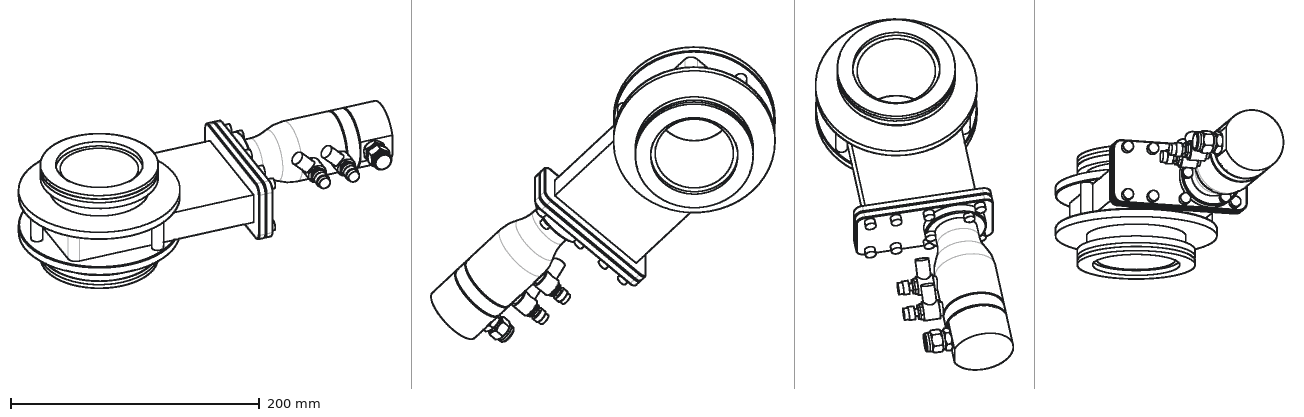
import cadquery as cq
import math


overall_height = 87.76
half_height = overall_height / 2
bore_diameter = 63
seal_recess_diameter = 70
seal_recess_depth = 4
port_flange_diameter = 95
port_flange_thickness = 12.2
port_groove_radius = 1.6
port_groove_offset = 5.1
neck_diameter = 80

cover_diameter = 130.05
cover_thickness = 7
cover_chamfer = 0.7

housing_width = 90
housing_height = 26
housing_front = 43.5
housing_corner_radius = 7
spacer_diameter = 9.6
spacer_centers = ((0, -54.5), (-50.2, 29.7), (50.2, 29.7))

plate_width = 112
plate_height = 52
plate_corner_radius = 7
plate_thickness = 6.2
plate_chamfer = 0.7
plate_start = 115.7
plate_end = plate_start + 2 * plate_thickness
plate_bolt_x = (-45, -3.1, 23.8, 45)
plate_bolt_z = 19.8
bolt_head_diameter = 8.5
plate_bolt_head_height = 4.9
hub_bolt_head_height = 4

overall_length = 321.59
actuator_x = -24.2
actuator_diameter = 50
actuator_radius = actuator_diameter / 2
stem_radius = 17.3
hub_end = plate_end + 7.3
hub_chamfer = 1
hub_bolt_circle_radius = 21
hub_bolt_angles = (0, 120, 240)
stem_end = 145.9
shoulder_start = 176.9
ring_joint = 216.2
ring_joint_groove = 0.5
ring_end = 228.6
ring_chamfer = 1
actuator_end = overall_length - cover_diameter / 2
cap_flat_x = -1

gland_y = 239.6
gland_hex_width = 16
gland_hex_chamfer = 1.2
gland_inner_hex_end = 4.3
gland_neck_end = 6.3
gland_neck_diameter = 14.5
gland_outer_hex_end = 15
gland_collar_end = 17
gland_collar_diameter = 15.6
gland_tip_end = 20.2
gland_tip_diameter = 15.2
gland_tip_chamfer = 1

fitting_y = (209.1, 183.6)
fitting_collar_end = 3.1
fitting_collar_diameter = 11.5
tee_end = 16.3
tee_diameter = 15.4
fitting_hex_end = 18.6
fitting_hex_width = 11
fitting_washer_end = 20.2
fitting_washer_diameter = 11.5
fitting_tube_end = 23.2
fitting_tube_diameter = 6
release_ring_end = 28
release_ring_diameter = 11
fitting_tip_end = 31.8
fitting_tip_diameter = 9.5
branch_x = (fitting_collar_end + tee_end) / 2
branch_diameter = 11
branch_length = 21
branch_tilt = 45


def cylinder_z(diameter, bottom, top):
    return cq.Workplane("XY").workplane(offset=bottom).circle(diameter / 2).extrude(top - bottom)


def cylinder_x(diameter, y, start, end):
    return cq.Workplane("YZ", origin=(start, y, 0)).circle(diameter / 2).extrude(end - start)


def cylinder_y(diameter, x, z, start, end):
    return cq.Workplane("XZ", origin=(x, start, z)).circle(diameter / 2).extrude(start - end)


def hexagon_x(width, y, start, end):
    """Hexagonal bar along X with two flats facing +Y and -Y."""
    corner_diameter = width / math.cos(math.pi / 6)
    bar = cq.Workplane("YZ", origin=(start, y, 0)).polygon(6, corner_diameter).extrude(end - start)
    return bar.rotate((0, y, 0), (1, y, 0), 30)


def chamfered_hexagon_x(width, y, start, end):
    """Hexagonal nut whose corners are turned down at both ends."""
    corner_diameter = width / math.cos(math.pi / 6)
    blank = cylinder_x(corner_diameter, y, start, end).edges().chamfer(gland_hex_chamfer)
    return hexagon_x(width, y, start, end).intersect(blank)


def upper_port():
    """Flange with a half-round clamp groove, neck and cover plate above the housing."""
    cover_bottom = housing_height / 2
    cover_top = cover_bottom + cover_thickness
    flange_bottom = half_height - port_flange_thickness
    cover = cylinder_z(cover_diameter, cover_bottom, cover_top).faces("<Z").edges().chamfer(cover_chamfer)
    neck = cylinder_z(neck_diameter, cover_top, flange_bottom)
    flange = cylinder_z(port_flange_diameter, flange_bottom, half_height)
    groove = (
        cq.Workplane("XZ")
        .center(port_flange_diameter / 2, half_height - port_groove_offset)
        .circle(port_groove_radius)
        .revolve(360, (-port_flange_diameter / 2, 0, 0), (-port_flange_diameter / 2, 1, 0))
    )
    recess = cylinder_z(seal_recess_diameter, half_height - seal_recess_depth, half_height)
    return cover.union(neck).union(flange.cut(groove)).cut(recess)


def housing():
    length = plate_start + housing_front
    block = cq.Workplane("XY").box(housing_width, length, housing_height)
    block = block.translate((0, plate_start - length / 2, 0))
    return block.edges("|Z and <Y").fillet(housing_corner_radius)


def spacers():
    posts = cq.Workplane("XY")
    for x, y in spacer_centers:
        post = cylinder_z(spacer_diameter, -housing_height / 2, housing_height / 2)
        posts = posts.union(post.translate((x, y, 0)))
    return posts


def plate(start):
    blank = cq.Workplane("XY").box(plate_width, plate_thickness, plate_height)
    blank = blank.edges("|Y").fillet(plate_corner_radius)
    blank = blank.faces("<Y or >Y").edges().chamfer(plate_chamfer)
    return blank.translate((0, start + plate_thickness / 2, 0))


def plate_bolts():
    heads = cq.Workplane("XY")
    head_top = plate_end + plate_bolt_head_height
    for x in plate_bolt_x:
        for z in (-plate_bolt_z, plate_bolt_z):
            heads = heads.union(cylinder_y(bolt_head_diameter, x, z, plate_end, head_top))
    return heads


def hub_bolts():
    heads = cq.Workplane("XY")
    for angle in hub_bolt_angles:
        x = actuator_x + hub_bolt_circle_radius * math.cos(math.radians(angle))
        z = hub_bolt_circle_radius * math.sin(math.radians(angle))
        heads = heads.union(cylinder_y(bolt_head_diameter, x, z, hub_end, hub_end + hub_bolt_head_height))
    return heads


def actuator():
    """Turned body: hub, stem, S-shaped shoulder, ring and cap with one flat."""
    shoulder_middle = ((stem_radius + actuator_radius) / 2, (stem_end + shoulder_start) / 2)
    chamfered_radius = actuator_radius - ring_chamfer
    body = (
        cq.Workplane("XY")
        .moveTo(0, plate_end)
        .lineTo(actuator_radius, plate_end)
        .lineTo(actuator_radius, hub_end - hub_chamfer)
        .lineTo(actuator_radius - hub_chamfer, hub_end)
        .lineTo(stem_radius, hub_end)
        .lineTo(stem_radius, stem_end)
        .tangentArcPoint(shoulder_middle, relative=False)
        .tangentArcPoint((actuator_radius, shoulder_start), relative=False)
        .lineTo(actuator_radius, ring_joint - ring_joint_groove)
        .lineTo(actuator_radius - ring_joint_groove, ring_joint)
        .lineTo(actuator_radius, ring_joint + ring_joint_groove)
        .lineTo(actuator_radius, ring_end - ring_chamfer)
        .lineTo(chamfered_radius, ring_end)
        .lineTo(0, ring_end)
        .close()
        .revolve(360, (0, 0, 0), (0, 1, 0))
        .translate((actuator_x, 0, 0))
    )
    cap = cylinder_y(actuator_diameter, actuator_x, 0, ring_end, actuator_end)
    cap_length = actuator_end - ring_end
    beyond_flat = cq.Workplane("XY").box(actuator_diameter, cap_length, actuator_diameter)
    beyond_flat = beyond_flat.translate((cap_flat_x + actuator_radius, ring_end + cap_length / 2, 0))
    return body.union(cap.cut(beyond_flat))


def cable_gland():
    tip = cylinder_x(gland_tip_diameter, gland_y, gland_collar_end, gland_tip_end)
    tip = tip.faces(">X").edges().chamfer(gland_tip_chamfer)
    return (
        chamfered_hexagon_x(gland_hex_width, gland_y, cap_flat_x, gland_inner_hex_end)
        .union(cylinder_x(gland_neck_diameter, gland_y, gland_inner_hex_end, gland_neck_end))
        .union(chamfered_hexagon_x(gland_hex_width, gland_y, gland_neck_end, gland_outer_hex_end))
        .union(cylinder_x(gland_collar_diameter, gland_y, gland_outer_hex_end, gland_collar_end))
        .union(tip)
    )


def air_fitting(y):
    """Tee with a push-in connector along +X and a branch tilted toward -Y and +Z."""
    collar_start = actuator_x + stem_radius
    tilt = math.radians(branch_tilt)
    branch_plane = cq.Plane(
        origin=(branch_x, y, 0), xDir=(1, 0, 0), normal=(0, -math.cos(tilt), math.sin(tilt))
    )
    branch = cq.Workplane(branch_plane).circle(branch_diameter / 2).extrude(branch_length)
    return (
        cylinder_x(fitting_collar_diameter, y, collar_start, fitting_collar_end)
        .union(cylinder_x(tee_diameter, y, fitting_collar_end, tee_end))
        .union(hexagon_x(fitting_hex_width, y, tee_end, fitting_hex_end))
        .union(cylinder_x(fitting_washer_diameter, y, fitting_hex_end, fitting_washer_end))
        .union(cylinder_x(fitting_tube_diameter, y, fitting_washer_end, fitting_tube_end))
        .union(cylinder_x(release_ring_diameter, y, fitting_tube_end, release_ring_end))
        .union(cylinder_x(fitting_tip_diameter, y, release_ring_end, fitting_tip_end))
        .union(branch)
    )


port = upper_port()
valve = housing().union(port).union(port.mirror("XY")).union(spacers())
valve = valve.cut(cylinder_z(bore_diameter, -half_height, half_height))

result = valve.union(plate(plate_start)).union(plate(plate_start + plate_thickness)).union(plate_bolts())
result = result.union(actuator()).union(hub_bolts()).union(cable_gland())
for position in fitting_y:
    result = result.union(air_fitting(position))